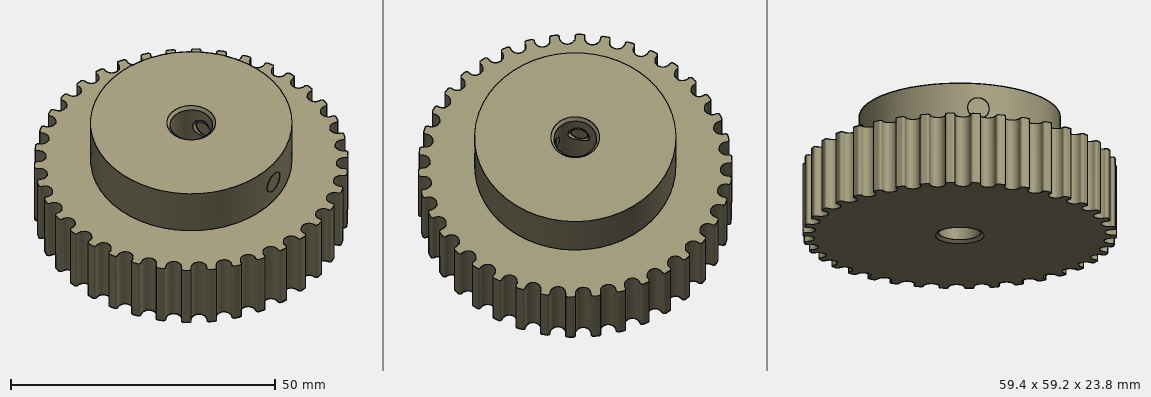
import cadquery as cq
import math

tooth_count = 38
rim_diameter = 59.35
rim_height = 13.95
groove_radius = 1.5
groove_depth = 2.2
tip_fillet = 0.5
cutter_overrun = 0.6

hub_diameter = 38.1
hub_height = 9.85

bore_diameter = 8.0
bore_chamfer = 0.6

screw_diameter = 4.15
screw_tip_chamfer = 0.5
screw_directions = [(1, 0, 0), (0, 1, 0)]

rim_radius = rim_diameter / 2
tooth_pitch_angle = 360 / tooth_count
total_height = rim_height + hub_height
bore_radius = bore_diameter / 2
hub_radius = hub_diameter / 2
screw_z = rim_height + hub_height / 2


def tooth_groove():
    """Cutter for one gap between teeth, on +X: round bottom, parallel walls and a rounded mouth."""
    centre_radius = rim_radius - groove_depth + groove_radius
    fillet_offset = groove_radius + tip_fillet
    fillet_centre_radius = math.sqrt((rim_radius - tip_fillet) ** 2 - fillet_offset**2)
    fillet_angle = math.atan2(fillet_offset, fillet_centre_radius)
    rim_point = (rim_radius * math.cos(fillet_angle), rim_radius * math.sin(fillet_angle))
    mid_angle = (fillet_angle - math.pi / 2) / 2
    mid_point = (
        fillet_centre_radius + tip_fillet * math.cos(mid_angle),
        fillet_offset + tip_fillet * math.sin(mid_angle),
    )
    outer_x = rim_radius + cutter_overrun
    return (
        cq.Workplane("XY")
        .moveTo(outer_x, -rim_point[1])
        .lineTo(rim_point[0], -rim_point[1])
        .threePointArc((mid_point[0], -mid_point[1]), (fillet_centre_radius, -groove_radius))
        .lineTo(centre_radius, -groove_radius)
        .threePointArc((centre_radius - groove_radius, 0), (centre_radius, groove_radius))
        .lineTo(fillet_centre_radius, groove_radius)
        .threePointArc(mid_point, rim_point)
        .lineTo(outer_x, rim_point[1])
        .close()
        .extrude(rim_height)
    )


def toothed_rim():
    """Rim with a tooth centred on +X."""
    rim = cq.Workplane("XY").circle(rim_radius).extrude(rim_height)
    groove = tooth_groove()
    for i in range(tooth_count):
        rim = rim.cut(groove.rotate((0, 0, 0), (0, 0, 1), (i + 0.5) * tooth_pitch_angle))
    return rim


def hub():
    return cq.Workplane("XY").workplane(offset=rim_height).circle(hub_radius).extrude(hub_height)


def bore():
    """Through bore, chamfered at both ends."""
    mouth_radius = bore_radius + bore_chamfer
    return (
        cq.Workplane("XZ")
        .lineTo(mouth_radius, 0)
        .lineTo(bore_radius, bore_chamfer)
        .lineTo(bore_radius, total_height - bore_chamfer)
        .lineTo(mouth_radius, total_height)
        .lineTo(0, total_height)
        .close()
        .revolve(360, (0, 0, 0), (0, 1, 0))
    )


def screw_plane(direction, distance):
    """Plane across a screw at a distance from the bore axis, facing outwards."""
    origin = (direction[0] * distance, direction[1] * distance, screw_z)
    return cq.Plane(origin=origin, xDir=(0, 0, 1), normal=direction)


def screw_hole(direction):
    return cq.Workplane(screw_plane(direction, 0)).circle(screw_diameter / 2).extrude(hub_radius)


def set_screw(direction):
    """Screw from the bore wall to the hub wall, its tip chamfered and its outer end flat."""
    body = (
        cq.Workplane(screw_plane(direction, bore_radius))
        .circle(screw_diameter / 2)
        .extrude(hub_radius - bore_radius)
    )
    tip = cq.selectors.DirectionMinMaxSelector(cq.Vector(*direction), directionMax=False)
    return body.faces(tip).chamfer(screw_tip_chamfer)


result = toothed_rim().union(hub()).cut(bore())
for direction in screw_directions:
    result = result.cut(screw_hole(direction)).union(set_screw(direction))